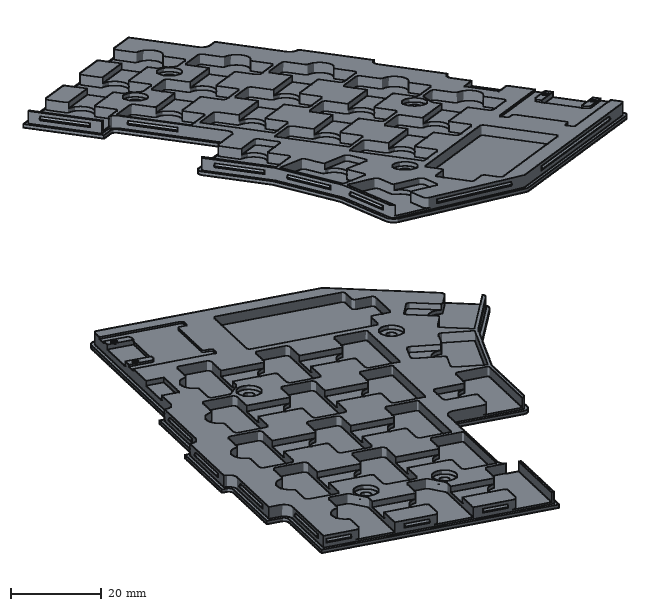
import cadquery as cq
import math


TOTAL_HEIGHT = 3.7
FLANGE_HEIGHT = 0.8
POCKET_FLOOR = 1.3
CHANNEL_FLOOR = 2.3
RECESS_FLOOR = 3.2
USB_FLOOR = 2.5
NOTCH_FLOOR = 2.5

BODY_INSET = 0.8
OVERRUN = 1.2

ROWS = 3
COLUMNS = 5
COLUMN_SPAN = 76.3
PITCH = COLUMN_SPAN / (COLUMNS - 1)
FIRST_COLUMN_X = 9.7
FIRST_COLUMN_Y = 38.1
STAGGERS = [0, PITCH / 4, PITCH * 3 / 8, PITCH / 4, PITCH / 8]

POCKET_HALF_WIDTH = 9.0
POCKET_LENGTH = 8.3
POCKET_CORNER = 1.0
SHARP_CORNER = 0.4
HUMP_RADIUS = 3.1
HUMP_HEIGHT = 2.9
HUMP_BLEND = 0.7
FLARE_RADIUS = 1.1
CHANNEL_WIDTH = 6.3
BEVEL_X = 3.6
BEVEL_Y = 3.1
BEVEL_CORNER = 1.2

LENGTH_X = 120.3
WIDTH_Y = 93.2
STEP_FILLET = 1.2
CORNER_FILLET = 1.8
TIP_FILLET = 2.0
COLUMN_EDGES = [18.8, 37.9, 57.9, 76.6]
STEP_TOPS = [86.1, 91.0, WIDTH_Y, 91.0, 88.5]
FIRST_COLUMN_BOTTOM = 28.4
FIRST_COLUMN_RIGHT = 19.5
MAIN_BOTTOM = 33.3
THUMB_LEFT = 47.9
THUMB_FACE = 19.0
THUMB_TURN = 15
SLANT_TOP = 31.8
TIP_ANGLE = math.radians(2 * THUMB_TURN)
TIP_Y = TIP_FILLET * (1 - math.cos(TIP_ANGLE) - math.sin(TIP_ANGLE))
TIP_X = LENGTH_X - (SLANT_TOP - TIP_Y) * math.tan(TIP_ANGLE)
TIP = (TIP_X, TIP_Y)

THUMB_KEY_RISE = 10.0
THUMB_KEY_SIDE = 9.9
THUMB_CHANNEL_LENGTH = 8.0

RIDGE_Z = 2.4
RIDGE_HALF_HEIGHT = 0.5
RIDGE_REACH = 0.42
RIDGE_LENGTH = 12.0
SHORT_RIDGE_LENGTH = 6.0
THUMB_RIDGE_SIDE = 10.3
SLANT_RIDGE_LENGTH = 20.5
SLANT_RIDGE_FROM_TIP = 23.3
SIDE_RIDGE_LENGTH = 37.9

SCREW_DIAMETER = 2.4
SCREW_SEAT_DIAMETER = 5.7
SCREW_SEAT_DEPTH = 1.0
LEFT_SCREW_X = 18.6
LEFT_SCREW_Y = 66.9
SCREWS = [
    (LEFT_SCREW_X, LEFT_SCREW_Y),
    (LEFT_SCREW_X, LEFT_SCREW_Y - PITCH),
    (76.9, 69.0),
    (92.6, 27.3),
]

RECESS_LEFT = 97.9
RECESS_RIGHT = 116.2
RECESS_BOTTOM = 67.4
RECESS_LEDGE = 69.8
FOOT_CORNER = 0.6
LOBE_OUTER_INSET = 2.4
LOBE_WIDTH = 1.9
USB_BOTTOM = 81.3
LOBE_CORNER = 1.0
PIN_DIAMETER = 0.8
PIN_SEAT_DIAMETER = 1.5
PIN_SEAT_DEPTH = 0.4
PIN_Y = 85.7

NOTCH_LEFT = 82.6
NOTCH_RIGHT = 91.1
NOTCH_BOTTOM = 83.4

BATTERY_LEFT = 96.7
BATTERY_RIGHT = 115.5
BATTERY_TOP = 60.4
BATTERY_BOTTOM = 28.5
TAB_LEFT = 101.5
TAB_RIGHT = 110.8
TAB_BOTTOM = 23.3
BATTERY_CORNER = 0.7


def walk(start, angle, distance):
    """Point reached from start by going the distance at an angle in degrees."""
    turn = math.radians(angle)
    return (start[0] + distance * math.cos(turn), start[1] + distance * math.sin(turn))


def rounded_outline(corners):
    """Closed wire through (x, y, radius) corners, each rounded by a tangent arc."""
    wire = None
    count = len(corners)
    for i, (x, y, radius) in enumerate(corners):
        corner = cq.Vector(x, y)
        back = (cq.Vector(*corners[i - 1][:2]) - corner).normalized()
        ahead = (cq.Vector(*corners[(i + 1) % count][:2]) - corner).normalized()
        half_angle = back.getAngle(ahead) / 2
        setback = radius / math.tan(half_angle)
        start = corner + back * setback
        wire = wire.lineTo(start.x, start.y) if wire else cq.Workplane().moveTo(start.x, start.y)
        if radius:
            end = corner + ahead * setback
            middle = corner + (back + ahead).normalized() * (radius / math.sin(half_angle) - radius)
            wire = wire.threePointArc((middle.x, middle.y), (end.x, end.y))
    return wire.close()


def block(corners, bottom, top):
    return rounded_outline(corners).extrude(top - bottom).translate((0, 0, bottom))


def cutter(corners, floor):
    return block(corners, floor, TOTAL_HEIGHT + OVERRUN)


def rectangle(left, bottom, right, top):
    return [(left, bottom, 0), (right, bottom, 0), (right, top, 0), (left, top, 0)]


def disc(x, y, diameter, bottom, top):
    return cq.Workplane().center(x, y).circle(diameter / 2).extrude(top - bottom).translate((0, 0, bottom))


thumb_knee = walk(TIP, 180 - 2 * THUMB_TURN, THUMB_FACE)
thumb_start = walk(thumb_knee, 180 - THUMB_TURN, THUMB_FACE)
THUMB_BOTTOM = thumb_start[1]

outline = [
    (0, FIRST_COLUMN_BOTTOM, 0),
    (FIRST_COLUMN_RIGHT, FIRST_COLUMN_BOTTOM, 0),
    (FIRST_COLUMN_RIGHT, MAIN_BOTTOM, STEP_FILLET),
    (THUMB_LEFT, MAIN_BOTTOM, STEP_FILLET),
    (THUMB_LEFT, THUMB_BOTTOM, CORNER_FILLET),
    (*thumb_start, 0),
    (*thumb_knee, 0),
    (*TIP, TIP_FILLET),
    (LENGTH_X, SLANT_TOP, CORNER_FILLET),
    (LENGTH_X, STEP_TOPS[-1], CORNER_FILLET),
]
for column in reversed(range(COLUMNS - 1)):
    edge = COLUMN_EDGES[column]
    right_top = STEP_TOPS[column + 1]
    left_top = STEP_TOPS[column]
    outline.append((edge, right_top, STEP_FILLET if right_top < left_top else 0))
    outline.append((edge, left_top, STEP_FILLET if left_top < right_top else 0))
outline.append((0, STEP_TOPS[0], 0))

flange = rounded_outline(outline).extrude(FLANGE_HEIGHT)
body = rounded_outline(outline).offset2D(-BODY_INSET, "intersection").extrude(TOTAL_HEIGHT)
part = flange.union(body)


def closed_side(side, bottom_corner):
    """Corners of a plain pocket side, from the top down; side is -1 or 1."""
    x = side * POCKET_HALF_WIDTH
    return [(x, 0, POCKET_CORNER), (x, -POCKET_LENGTH, bottom_corner)]


def bevelled_side(side):
    """Pocket side whose lower corner is cut off to clear a screw."""
    x = side * POCKET_HALF_WIDTH
    return [
        (x, 0, POCKET_CORNER),
        (x, BEVEL_Y - POCKET_LENGTH, BEVEL_CORNER),
        (x - side * BEVEL_X, -POCKET_LENGTH, BEVEL_CORNER),
    ]


def open_side(side, wall):
    """Pocket side that runs out through the body wall, with the upper corner of the exit rounded."""
    outside = wall + OVERRUN
    return [
        (side * wall, 0, FLARE_RADIUS),
        (side * wall, OVERRUN, 0),
        (side * outside, OVERRUN, 0),
        (side * outside, -POCKET_LENGTH, 0),
    ]


def key_pocket(left, right):
    """Pocket with a rounded hump on its top edge; the origin is the middle of that edge."""
    pocket = cutter(left + right[::-1], POCKET_FLOOR)
    hump_y = HUMP_HEIGHT - HUMP_RADIUS
    pocket = pocket.union(disc(0, hump_y, 2 * HUMP_RADIUS, POCKET_FLOOR, TOTAL_HEIGHT + OVERRUN))
    near = HUMP_RADIUS + HUMP_BLEND
    joints = cq.selectors.BoxSelector((-near, -HUMP_BLEND, 0), (near, HUMP_BLEND, 2 * TOTAL_HEIGHT))
    return pocket.edges("|Z").edges(joints).fillet(HUMP_BLEND)


def channel(length, corner=0.0):
    """Shallow wire channel going up from the top edge of a pocket."""
    half = CHANNEL_WIDTH / 2
    return cutter(
        [(-half, -HUMP_BLEND, 0), (half, -HUMP_BLEND, 0), (half, length, corner), (-half, length, corner)],
        CHANNEL_FLOOR,
    )


column_wall = FIRST_COLUMN_X - BODY_INSET
for column in range(COLUMNS):
    for row in range(ROWS):
        x = FIRST_COLUMN_X + column * PITCH
        y = FIRST_COLUMN_Y + STAGGERS[column] + row * PITCH
        bottom_corner = SHARP_CORNER if row == 0 else POCKET_CORNER
        left = closed_side(-1, bottom_corner)
        right = closed_side(1, bottom_corner)
        if column == 0:
            left = open_side(-1, column_wall)
            right = bevelled_side(1) if row > 0 else closed_side(1, 0)
        if column == COLUMNS - 1 and row == ROWS - 1:
            left = bevelled_side(-1)
        part = part.cut(key_pocket(left, right).translate((x, y, 0)))
        if row < ROWS - 1:
            part = part.cut(channel(PITCH - POCKET_LENGTH).translate((x, y, 0)))

thumb_wall = THUMB_KEY_SIDE - BODY_INSET
middle_foot = walk(thumb_start, -THUMB_TURN, THUMB_FACE / 2)
thumb_keys = [
    ((THUMB_LEFT + THUMB_KEY_SIDE, THUMB_BOTTOM), 0),
    (middle_foot, -THUMB_TURN),
    (walk(TIP, 180 - 2 * THUMB_TURN, THUMB_KEY_SIDE), -2 * THUMB_TURN),
]
thumb_sides = [
    (open_side(-1, thumb_wall), closed_side(1, SHARP_CORNER)),
    (closed_side(-1, SHARP_CORNER), closed_side(1, SHARP_CORNER)),
    (closed_side(-1, SHARP_CORNER), open_side(1, thumb_wall)),
]
for (foot, angle), (left, right) in zip(thumb_keys, thumb_sides):
    centre = walk(foot, angle + 90, THUMB_KEY_RISE)
    for shape in (key_pocket(left, right), channel(THUMB_CHANNEL_LENGTH, POCKET_CORNER)):
        part = part.cut(shape.rotate((0, 0, 0), (0, 0, 1), angle).translate((*centre, 0)))


def ridge(flange_point, facing, length):
    """Pointed ridge on the body wall behind a flange edge point, facing out at an angle in degrees."""
    profile = [(0, RIDGE_Z - RIDGE_HALF_HEIGHT), (RIDGE_REACH, RIDGE_Z), (0, RIDGE_Z + RIDGE_HALF_HEIGHT)]
    bar = cq.Workplane("XZ").polyline(profile).close().extrude(length / 2, both=True)
    foot = walk(flange_point, facing + 180, BODY_INSET)
    return bar.rotate((0, 0, 0), (0, 0, 1), facing).translate((*foot, 0))


ridges = [
    ((FIRST_COLUMN_X, FIRST_COLUMN_BOTTOM), -90, RIDGE_LENGTH),
    ((FIRST_COLUMN_X + PITCH, MAIN_BOTTOM), -90, RIDGE_LENGTH),
    ((THUMB_LEFT + THUMB_RIDGE_SIDE, THUMB_BOTTOM), -90, RIDGE_LENGTH),
    (middle_foot, -90 - THUMB_TURN, RIDGE_LENGTH),
    (walk(TIP, 180 - 2 * THUMB_TURN, THUMB_RIDGE_SIDE), -90 - 2 * THUMB_TURN, RIDGE_LENGTH),
    (walk(TIP, 90 - 2 * THUMB_TURN, SLANT_RIDGE_FROM_TIP), -2 * THUMB_TURN, SLANT_RIDGE_LENGTH),
    ((LENGTH_X, (SLANT_TOP + STEP_TOPS[-1]) / 2), 0, SIDE_RIDGE_LENGTH),
]
for column in range(COLUMNS - 1):
    ridges.append(((FIRST_COLUMN_X + column * PITCH, STEP_TOPS[column]), 90, RIDGE_LENGTH))
for row in range(ROWS):
    bar_y = FIRST_COLUMN_Y + row * PITCH + (PITCH - POCKET_LENGTH) / 2
    ridges.append(((0, bar_y), 180, SHORT_RIDGE_LENGTH))
for flange_point, facing, length in ridges:
    part = part.union(ridge(flange_point, facing, length))

for x, y in SCREWS:
    part = part.cut(disc(x, y, SCREW_DIAMETER, 0, TOTAL_HEIGHT))
    part = part.cut(disc(x, y, SCREW_SEAT_DIAMETER, TOTAL_HEIGHT - SCREW_SEAT_DEPTH, TOTAL_HEIGHT))

body_back = STEP_TOPS[-1] - BODY_INSET
beyond = body_back + OVERRUN
lobe_left = RECESS_LEFT + LOBE_OUTER_INSET
lobe_right = RECESS_RIGHT - LOBE_OUTER_INSET
recess = cutter(
    [
        (RECESS_LEFT, beyond, 0),
        (RECESS_LEFT, RECESS_BOTTOM, FOOT_CORNER),
        (lobe_left, RECESS_BOTTOM, FOOT_CORNER),
        (lobe_left, RECESS_LEDGE, FOOT_CORNER),
        (lobe_right, RECESS_LEDGE, FOOT_CORNER),
        (lobe_right, RECESS_BOTTOM, FOOT_CORNER),
        (RECESS_RIGHT, RECESS_BOTTOM, FOOT_CORNER),
        (RECESS_RIGHT, beyond, 0),
    ],
    RECESS_FLOOR,
)
part = part.cut(recess)
usb_slot = rectangle(lobe_left + LOBE_WIDTH, USB_BOTTOM, lobe_right - LOBE_WIDTH, beyond)
part = part.cut(cutter(usb_slot, USB_FLOOR))

for outer, inward in ((lobe_left, 1), (lobe_right, -1)):
    inner = outer + inward * LOBE_WIDTH
    lobe = [
        (outer, USB_BOTTOM, LOBE_CORNER),
        (inner, USB_BOTTOM, 0),
        (inner, body_back, 0),
        (outer, body_back, 0),
    ]
    part = part.union(block(lobe, RECESS_FLOOR, TOTAL_HEIGHT))
    pin_x = (outer + inner) / 2
    part = part.cut(disc(pin_x, PIN_Y, PIN_DIAMETER, 0, TOTAL_HEIGHT))
    part = part.cut(disc(pin_x, PIN_Y, PIN_SEAT_DIAMETER, TOTAL_HEIGHT - PIN_SEAT_DEPTH, TOTAL_HEIGHT))

part = part.cut(cutter(rectangle(NOTCH_LEFT, NOTCH_BOTTOM, NOTCH_RIGHT, beyond), NOTCH_FLOOR))
battery = [
    (BATTERY_LEFT, BATTERY_TOP, BATTERY_CORNER),
    (BATTERY_LEFT, BATTERY_BOTTOM, BATTERY_CORNER),
    (TAB_LEFT, BATTERY_BOTTOM, BATTERY_CORNER),
    (TAB_LEFT, TAB_BOTTOM, BATTERY_CORNER),
    (TAB_RIGHT, TAB_BOTTOM, BATTERY_CORNER),
    (TAB_RIGHT, BATTERY_BOTTOM, BATTERY_CORNER),
    (BATTERY_RIGHT, BATTERY_BOTTOM, BATTERY_CORNER),
    (BATTERY_RIGHT, BATTERY_TOP, BATTERY_CORNER),
]
part = part.cut(cutter(battery, POCKET_FLOOR))

result = part